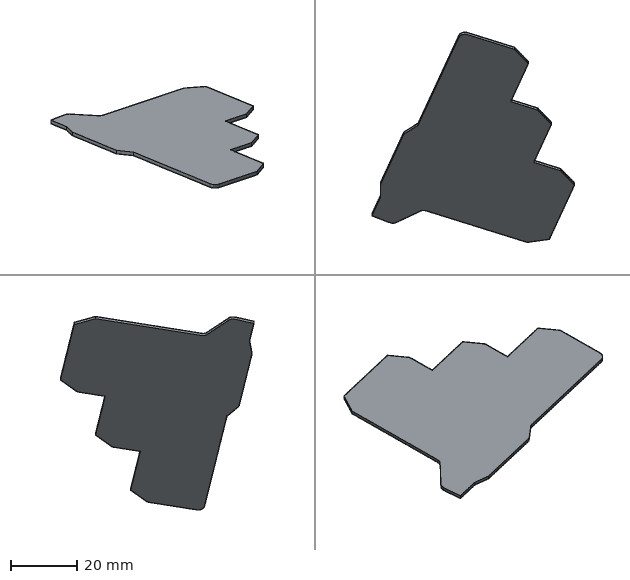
import cadquery as cq

length = 72.85
height = 54.7
thickness = 1.2

step_count = 3
step_run = 18.35
step_rise = 14.4
bevel_x = 3.4
bevel_y = 5.8

wall_x = 7.95
right_base_y = 2.85
foot_start_x = 12.0
foot_end_x = 31.9
foot_ramp_end_x = 36.4

tongue_root_y = 15.3
tongue_shoulder_y = 8.8
tongue_taper_y = 6.85
tongue_taper = 0.45
tongue_bottom_y = 1.7
tongue_bottom_end_x = 7.5

corner_radius = 2.0


def step_points():
    """Corners of the staircase, from the lowest step up to the highest."""
    points = []
    for level in reversed(range(step_count)):
        right_x = length - (step_count - 1 - level) * step_run
        top_y = height - level * step_rise
        points.append((right_x, top_y - bevel_y))
        points.append((right_x - bevel_x, top_y))
        if level > 0:
            points.append((right_x - step_run, top_y))
    return points


bottom_edge = [
    (tongue_taper, tongue_bottom_y),
    (tongue_bottom_end_x, tongue_bottom_y),
    (foot_start_x, 0),
    (foot_end_x, 0),
    (foot_ramp_end_x, right_base_y),
    (length, right_base_y),
]
left_edge = [
    (wall_x + bevel_x, height),
    (wall_x, height - bevel_y),
    (wall_x, tongue_root_y),
    (0, tongue_shoulder_y),
    (0, tongue_taper_y),
]
outline = bottom_edge + step_points() + left_edge
plate = cq.Workplane("XY").polyline(outline).close().extrude(thickness)

rounded_corners = [
    (length, right_base_y),
    (wall_x, tongue_root_y),
    (0, tongue_shoulder_y),
]
for x, y in rounded_corners:
    corner_edge = cq.selectors.NearestToPointSelector((x, y, thickness / 2))
    plate = plate.edges("|Z").edges(corner_edge).fillet(corner_radius)

result = plate